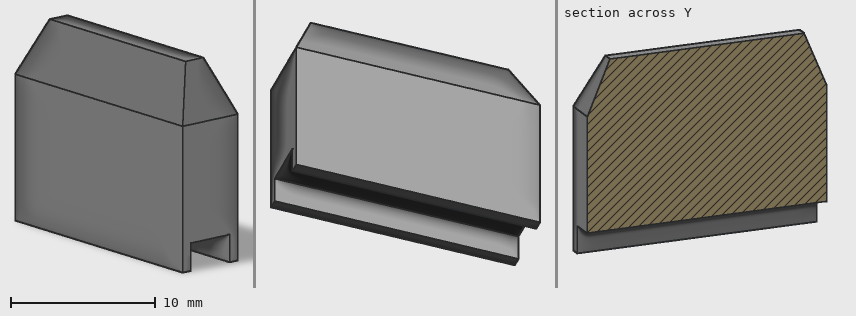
import cadquery as cq
import math

length = 18.0
width = 5.0
height = 14.5

taper_height = 4.0
taper_angle = 23.0

side_wall = 0.75
slot_depth = 2.0

body_height = height - taper_height
taper_inset = taper_height * math.tan(math.radians(taper_angle))
slot_width = width - 2 * side_wall


def make_body():
    """Rectangular block standing on the XY plane, centred in X and Y."""
    return cq.Workplane("XY").box(length, width, body_height, centered=(True, True, False))


def make_tapered_top():
    """Hipped top on the block, inset equally on all four sides."""
    return (
        cq.Workplane("XY")
        .workplane(offset=body_height)
        .rect(length, width)
        .workplane(offset=taper_height)
        .rect(length - 2 * taper_inset, width - 2 * taper_inset)
        .loft(ruled=True)
    )


def make_slot():
    """Channel along X, open at the bottom and at both ends."""
    return cq.Workplane("XY").box(length, slot_width, slot_depth, centered=(True, True, False))


result = make_body().union(make_tapered_top()).cut(make_slot())